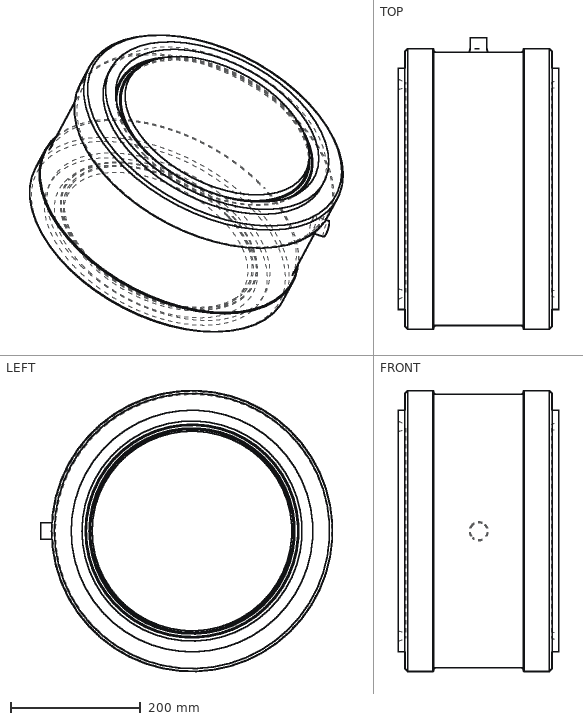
import cadquery as cq
import math

LENGTH = 247.5
FLANGE_DIAMETER = 433.5
FLANGE_RADIUS = FLANGE_DIAMETER / 2
BODY_RADIUS = 211.0
LIP_RADIUS = 186.5
LIP_LENGTH = 10.5

FLANGE_WIDTH = 44.5
FLANGE_CHAMFER = 4.5
BACK_CHAMFER = 1.5
BODY_FILLET = 2.5

GROOVE_OUTER_RADIUS = 169.5
GROOVE_FLOOR_OUTER_RADIUS = 164.8
GROOVE_FLOOR_INNER_RADIUS = 163.0
GROOVE_STEP_OUTER_RADIUS = 159.0
GROOVE_STEP_INNER_RADIUS = 156.5
DISC_RADIUS = 154.0
GROOVE_DEPTH = 11.5
STEP_DEPTH = 10.0

STUB_RADIUS = 13.0
OVERALL_WIDTH = 450.0
STUB_TIP = OVERALL_WIDTH - FLANGE_RADIUS
STUB_ROOT = 180.0
COLLAR_RADIUS = 15.0
COLLAR_TOP = 216.0
COLLAR_HEIGHT = 5.5
COLLAR_BASE = COLLAR_TOP - COLLAR_HEIGHT

HALF_LENGTH = LENGTH / 2
flange_front = HALF_LENGTH - LIP_LENGTH
flange_back = flange_front - FLANGE_WIDTH
AXIS_START = (0, 0, 0)
AXIS_END = (1, 0, 0)


def drum():
    """Body with a flange and a lip at each end; a fillet joins body and flange."""
    fillet_start = flange_back - BODY_FILLET
    fillet_end_radius = BODY_RADIUS + BODY_FILLET
    fillet_offset = BODY_FILLET * math.sqrt(0.5)
    fillet_middle = (fillet_start + fillet_offset, fillet_end_radius - fillet_offset)
    flange_outline = [
        (flange_back, FLANGE_RADIUS - BACK_CHAMFER),
        (flange_back + BACK_CHAMFER, FLANGE_RADIUS),
        (flange_front - FLANGE_CHAMFER, FLANGE_RADIUS),
        (flange_front, FLANGE_RADIUS - FLANGE_CHAMFER),
        (flange_front, LIP_RADIUS),
        (HALF_LENGTH, LIP_RADIUS),
    ]
    outline = cq.Workplane("XY").moveTo(-fillet_start, BODY_RADIUS).lineTo(fillet_start, BODY_RADIUS)
    outline = outline.threePointArc(fillet_middle, (flange_back, fillet_end_radius))
    for x, radius in flange_outline:
        outline = outline.lineTo(x, radius)
    outline = outline.lineTo(HALF_LENGTH, 0).lineTo(-HALF_LENGTH, 0)
    for x, radius in reversed(flange_outline):
        outline = outline.lineTo(-x, radius)
    outline = outline.lineTo(-flange_back, fillet_end_radius)
    outline = outline.threePointArc(
        (-fillet_middle[0], fillet_middle[1]),
        (-fillet_start, BODY_RADIUS),
    )
    return outline.close().revolve(360, AXIS_START, AXIS_END)


def end_groove():
    """Groove with sloping walls and a narrow step on its inner wall."""
    floor = HALF_LENGTH - GROOVE_DEPTH
    step = HALF_LENGTH - STEP_DEPTH
    outline = [
        (HALF_LENGTH, GROOVE_OUTER_RADIUS),
        (floor, GROOVE_FLOOR_OUTER_RADIUS),
        (floor, GROOVE_FLOOR_INNER_RADIUS),
        (step, GROOVE_STEP_OUTER_RADIUS),
        (step, GROOVE_STEP_INNER_RADIUS),
        (HALF_LENGTH, DISC_RADIUS),
    ]
    return cq.Workplane("XY").polyline(outline).close().revolve(360, AXIS_START, AXIS_END)


def stub():
    """Round stub pointing along +Y with a cone at its foot."""
    axis_plane = cq.Workplane("XZ", origin=(0, STUB_ROOT, 0))
    pin = axis_plane.circle(STUB_RADIUS).extrude(STUB_ROOT - STUB_TIP)
    collar = cq.Workplane(cq.Solid.makeCone(
        COLLAR_RADIUS, STUB_RADIUS, COLLAR_HEIGHT,
        cq.Vector(0, COLLAR_BASE, 0), cq.Vector(0, 1, 0),
    ))
    return pin.union(collar)


groove = end_groove()
result = drum().cut(groove).cut(groove.mirror("YZ")).union(stub())